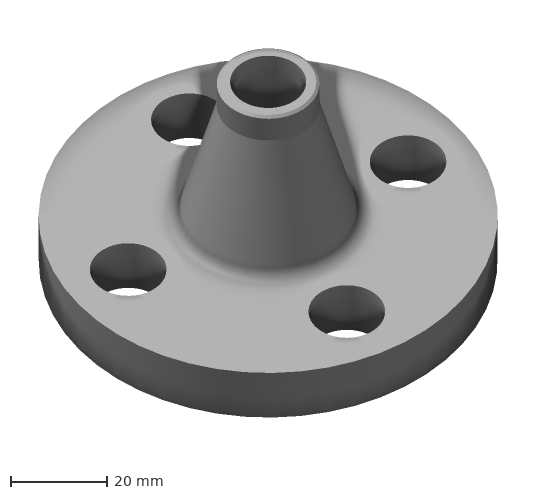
import cadquery as cq
import math

flange_diameter = 95.25
flange_thickness = 12.7
raised_face_diameter = 35.1
raised_face_height = 1.59

bolt_hole_count = 4
bolt_hole_diameter = 15.9
bolt_circle_diameter = 66.6

total_height = 52.39
bore_diameter = 15.8
neck_diameter = 21.3
neck_length = 6.6
hub_base_diameter = 38.1
hub_fillet_radius = 3.0
bevel_width = 0.65
bevel_angle = 37.5

flange_top = raised_face_height + flange_thickness
neck_start = total_height - neck_length
neck_radius = neck_diameter / 2
bevel_height = bevel_width * math.tan(math.radians(bevel_angle))


def make_flange():
    """Round plate with the raised sealing face beneath it."""
    raised_face = cq.Workplane("XY").circle(raised_face_diameter / 2).extrude(raised_face_height)
    plate = (
        cq.Workplane("XY")
        .workplane(offset=raised_face_height)
        .circle(flange_diameter / 2)
        .extrude(flange_thickness)
    )
    return raised_face.union(plate)


def make_hub():
    """Tapered hub, straight neck and welding bevel, revolved about Z."""
    profile = [
        (0, flange_top),
        (hub_base_diameter / 2, flange_top),
        (neck_radius, neck_start),
        (neck_radius, total_height - bevel_height),
        (neck_radius - bevel_width, total_height),
        (0, total_height),
    ]
    return cq.Workplane("XZ").polyline(profile).close().revolve(360, (0, 0), (0, 1))


def fillet_hub_base(body):
    """Blend the foot of the hub, the second largest circle, into the top of the flange."""
    foot = cq.selectors.RadiusNthSelector(-2)
    return body.edges("%CIRCLE").edges(foot).fillet(hub_fillet_radius)


def make_bore():
    """Straight bore through the full height."""
    return cq.Workplane("XY").circle(bore_diameter / 2).extrude(total_height)


def make_bolt_holes():
    """Ring of equal holes through the flange, the first one on +X."""
    return (
        cq.Workplane("XY")
        .polarArray(bolt_circle_diameter / 2, 0, 360, bolt_hole_count)
        .circle(bolt_hole_diameter / 2)
        .extrude(flange_top)
    )


body = fillet_hub_base(make_flange().union(make_hub()))
result = body.cut(make_bore()).cut(make_bolt_holes())